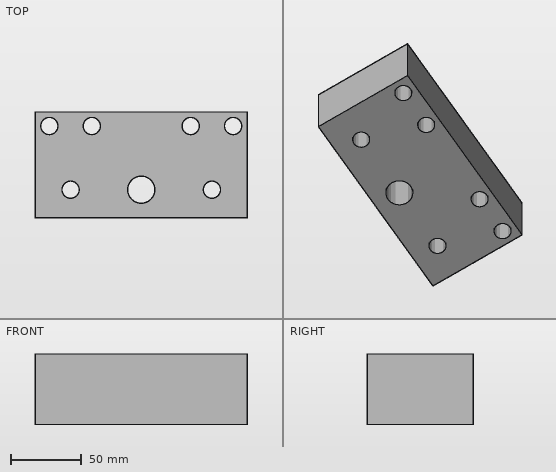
import cadquery as cq

length = 150.0
width = length / 2
height = length / 3

small_diameter = 12.0
end_margin = 10.0
pair_spacing = 30.0
outer_x = length / 2 - end_margin
inner_x = outer_x - pair_spacing
back_y = width / 2 - end_margin

bore_diameter = 19.0
front_margin = 20.0
front_y = front_margin - width / 2
front_x = (outer_x + inner_x) / 2

small_hole_centers = []
for side in (-1, 1):
    small_hole_centers.append((side * outer_x, back_y))
    small_hole_centers.append((side * inner_x, back_y))
    small_hole_centers.append((side * front_x, front_y))


def drill_through(body, centers, diameter):
    """Drill vertical holes through the full height of the body."""
    return body.faces(">Z").workplane(origin=(0, 0, 0)).pushPoints(centers).hole(diameter)


block = cq.Workplane("XY").box(length, width, height)
block = drill_through(block, small_hole_centers, small_diameter)
result = drill_through(block, [(0, front_y)], bore_diameter)